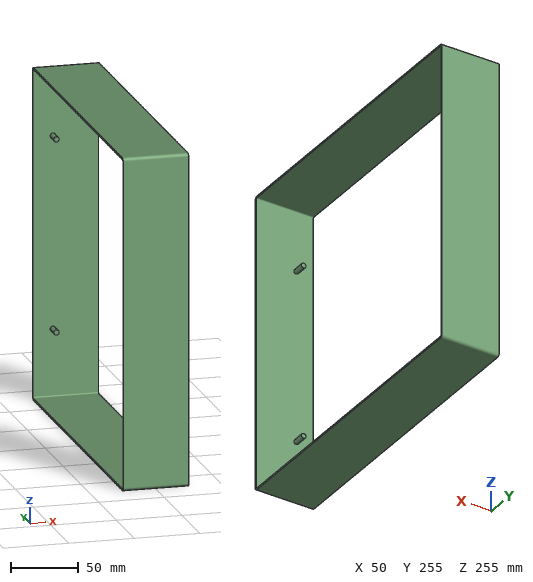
import cadquery as cq

side = 255.0
depth = 50.0
wall = 1.5
corner_radius = 2.5

pin_diameter = 4.0
pin_length = 10.2
pin_spacing = 148.0
pin_setback = 15.0

inner_side = side - 2 * wall
inner_radius = corner_radius - wall


def rounded_block(width, radius):
    """Square block along X with its four long edges rounded."""
    return cq.Workplane("YZ").rect(width, width).extrude(depth / 2, both=True).edges("|X").fillet(radius)


def pin(y_direction, z):
    """Pin standing inward from the wall on the given Y side."""
    root = cq.Vector(-depth / 2 + pin_setback, y_direction * (side - wall) / 2, z)
    inward = cq.Vector(0, -y_direction, 0)
    length = wall / 2 + pin_length
    return cq.Solid.makeCylinder(pin_diameter / 2, length, root, inward)


result = rounded_block(side, corner_radius).cut(rounded_block(inner_side, inner_radius))

for y_direction in (-1, 1):
    for z in (-pin_spacing / 2, pin_spacing / 2):
        result = result.union(cq.Workplane(obj=pin(y_direction, z)))